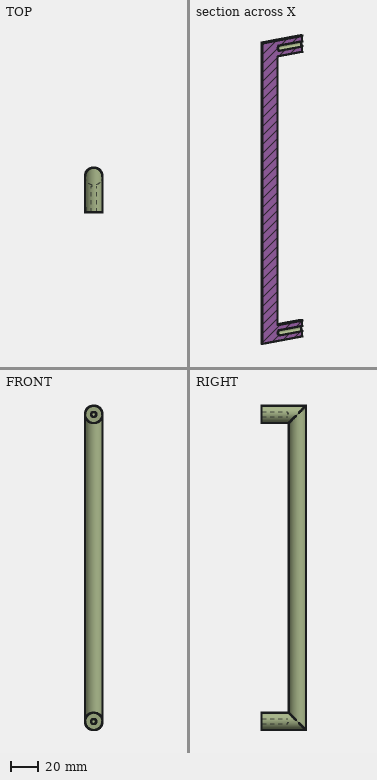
import cadquery as cq
import math

length = 236.7
bar_diameter = 12.8
projection = 32.7

hole_diameter = 3.8
hole_depth = 19.0
drill_point_angle = 118.0

grip_y = -bar_diameter / 2
mounting_y = -projection
leg_z = (length - bar_diameter) / 2


def mitred_bar():
    """Round bar swept along a U-shaped path with sharp mitred corners."""
    path = cq.Workplane("YZ").polyline(
        [(mounting_y, -leg_z), (grip_y, -leg_z), (grip_y, leg_z), (mounting_y, leg_z)]
    )
    section = cq.Workplane("XZ", origin=(0, mounting_y, -leg_z)).circle(bar_diameter / 2)
    return section.sweep(path, transition="right")


def mounting_hole(z):
    """Drill-shaped cutter that runs from the mounting face into the leg at height z."""
    radius = hole_diameter / 2
    point_length = radius / math.tan(math.radians(drill_point_angle / 2))
    profile = (
        cq.Workplane("XY", origin=(0, mounting_y, z))
        .lineTo(radius, 0)
        .lineTo(radius, hole_depth)
        .lineTo(0, hole_depth + point_length)
        .close()
    )
    return profile.revolve(360, (0, 0), (0, 1))


result = mitred_bar()
for z in (-leg_z, leg_z):
    result = result.cut(mounting_hole(z))